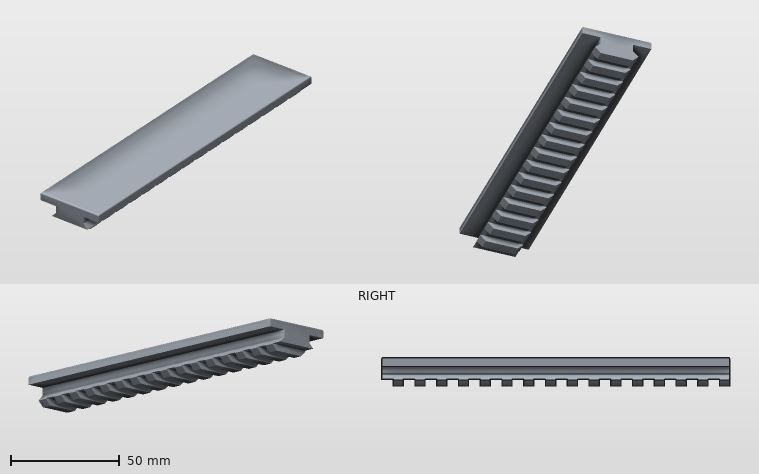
import cadquery as cq

length = 160.0
flange_width = 34.0
height = 13.1
flange_underside = 9.1
flange_edge_radius = 0.75

rail_width = 21.1
neck_width = 15.8
foot_width = 15.7
rim_bottom = (rail_width - foot_width) / 2
rim_top = 2.9
neck_bottom = rim_top + (rail_width - neck_width) / 2

slot_count = 16
slot_pitch = length / slot_count
land_length = 4.8
slot_length = slot_pitch - land_length
slot_depth = 3.0


def make_flange():
    plate = (
        cq.Workplane("XY")
        .workplane(offset=flange_underside)
        .rect(flange_width, length)
        .extrude(height - flange_underside)
    )
    return plate.faces(">Z").edges().fillet(flange_edge_radius)


def make_rail():
    right_side = [
        (foot_width / 2, 0),
        (rail_width / 2, rim_bottom),
        (rail_width / 2, rim_top),
        (neck_width / 2, neck_bottom),
        (neck_width / 2, flange_underside),
    ]
    left_side = [(-x, z) for x, z in reversed(right_side)]
    return (
        cq.Workplane("XZ")
        .polyline(right_side + left_side)
        .close()
        .extrude(length / 2, both=True)
    )


def make_slots():
    first_slot_y = length / 2 - land_length - slot_length / 2
    slot_centers = [(0, first_slot_y - i * slot_pitch) for i in range(slot_count)]
    return (
        cq.Workplane("XY")
        .pushPoints(slot_centers)
        .rect(rail_width, slot_length)
        .extrude(slot_depth)
    )


result = make_flange().union(make_rail().cut(make_slots()))